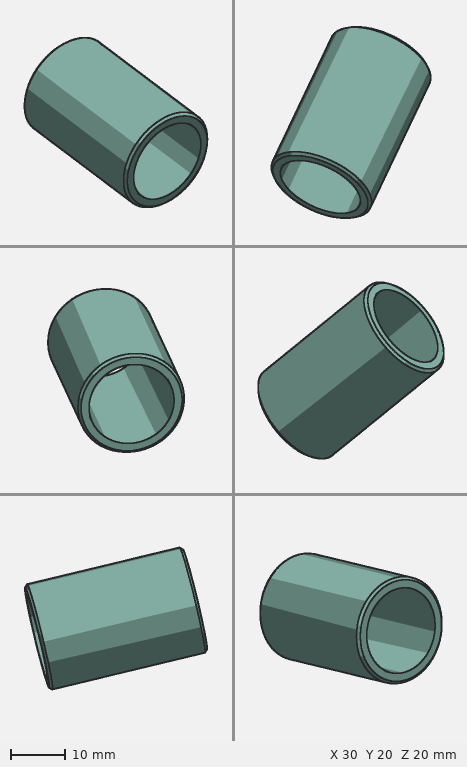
import cadquery as cq

length = 30.0
outer_diameter = 20.0
bore_diameter = 16.0
chamfer_size = 0.5


def centred_cylinder(diameter):
    """Full-length cylinder along X, centred on the origin."""
    return (
        cq.Workplane("YZ", origin=(-length / 2, 0, 0))
        .circle(diameter / 2)
        .extrude(length)
    )


sleeve = centred_cylinder(outer_diameter).faces("<X or >X").chamfer(chamfer_size)

result = sleeve.cut(centred_cylinder(bore_diameter))